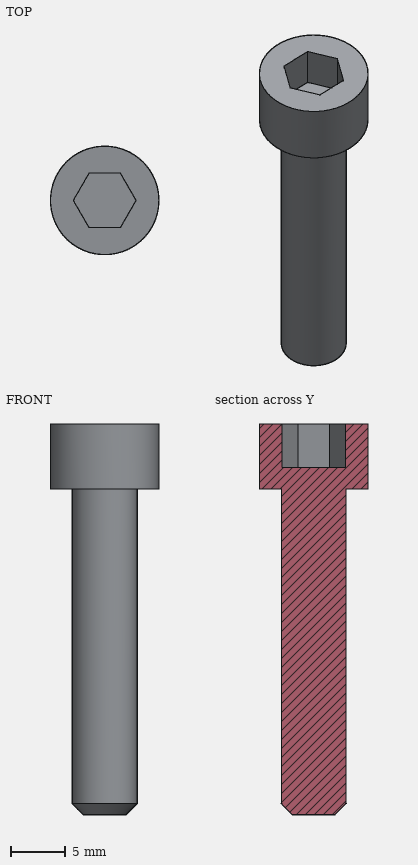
import cadquery as cq
import math

total_length = 36.0
head_diameter = 10.0
shank_diameter = 6.0
head_height = shank_diameter
shank_length = total_length - head_height
tip_chamfer = 1.05

hex_sides = 6
hex_across_flats = 5.0
hex_across_corners = hex_across_flats / math.cos(math.pi / hex_sides)
hex_depth = 4.0


def make_head():
    return cq.Workplane("XY").circle(head_diameter / 2).extrude(head_height)


def make_shank():
    shank = cq.Workplane("XY").circle(shank_diameter / 2).extrude(-shank_length)
    return shank.faces("<Z").chamfer(tip_chamfer)


def make_hex_socket():
    socket_top = cq.Workplane("XY", origin=(0, 0, head_height))
    return socket_top.polygon(hex_sides, hex_across_corners).extrude(-hex_depth)


result = make_head().union(make_shank()).cut(make_hex_socket())